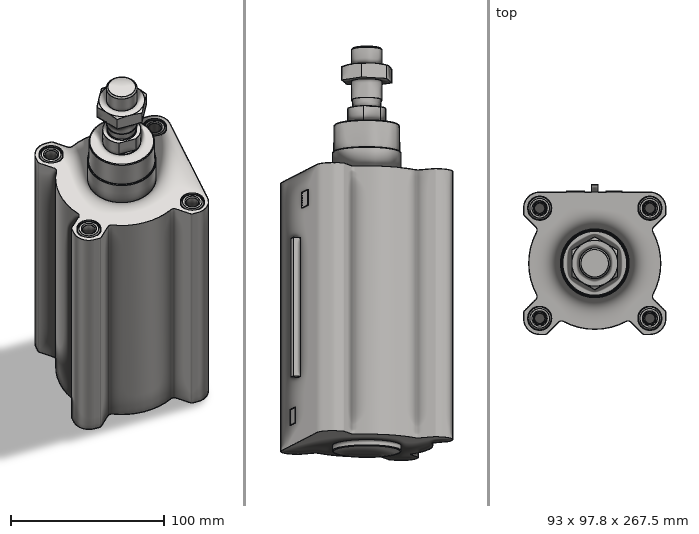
import cadquery as cq
import math

TOTAL_HEIGHT = 267.5
BODY_WIDTH = 93.0
BODY_BOTTOM = 4.0
BODY_TOP = 182.0
BODY_HEIGHT = BODY_TOP - BODY_BOTTOM
BODY_MIDDLE = (BODY_TOP + BODY_BOTTOM) / 2
BACK_FACE = BODY_WIDTH / 2

BARREL_DIAMETER = 86.5
SCREW_SPACING = 72.0
CORNER_RADIUS = (BODY_WIDTH - SCREW_SPACING) / 2
LOBE_WIDTH = 2 * CORNER_RADIUS
LOBE_ROOT_FILLET = 2.7
LOBE_EDGE_FILLET = 2.1
EDGE_TOLERANCE = 0.03

SCREW_HOLE_DIAMETER = 8.3
SCREW_HOLE_DEPTH = 16.0
HOLE_CHAMFER = 0.8
PILOT_DIAMETER = 6.7
PILOT_DEPTH = 21.5

GROOVE_OUTER_DIAMETER = 15.8
GROOVE_FLOOR_DIAMETER = 15.0
LAND_DIAMETER = 12.8
GROOVE_DEPTH = 1.3

BOSS_DIAMETER = 45.0
BOSS_CHAMFER = 0.5
COLLAR_STEP = 198.5
COLLAR_TOP = 216.5
COLLAR_ROOT_DIAMETER = 43.4
COLLAR_TOP_DIAMETER = 42.8
COLLAR_CHAMFER = 0.5

RIB_WIDTH = 4.5
RIB_LENGTH = 92.0
RIB_HEIGHT = 4.8
PAD_LENGTH = 10.5
PAD_THICKNESS = 0.5
PAD_OFFSET = 70.0
UPPER_PAD_WIDTH = 12.0
LOWER_PAD_WIDTH = 10.5
PAD_CENTRE_X = 12.5

ROD_DIAMETER = 25.0
ROD_BOTTOM = BODY_TOP
ROD_SHOULDER = 227.5
FLAT_BOTTOM = 217.0
WIDTH_ACROSS_FLATS = 22.0
NECK_DIAMETER = 18.5
NECK_CONE_DIAMETER = 19.3
NECK_TOP = 230.5
NECK_CHAMFER = 0.5
THREAD_BOTTOM = 233.3
THREAD_DIAMETER = 20.0
THREAD_CHAMFER = 1.0

NUT_BOTTOM = 245.7
NUT_HEIGHT = 9.5
NUT_WIDTH = 30.0
NUT_CHAMFER = 0.8


def cylinder(diameter, bottom, top):
    """Upright cylinder on the rod axis."""
    return cq.Workplane("XY", origin=(0, 0, bottom)).circle(diameter / 2).extrude(top - bottom)


def revolve_about_z(outline):
    """Solid of revolution from (radius, z) points."""
    return cq.Workplane("XZ").polyline(outline).close().revolve(360, (0, 0), (0, 1))


def vertical_edges_at(solid, radius):
    """Upright edges at the given distance from the rod axis."""
    def at_radius(edge):
        centre = edge.Center()
        return abs(math.hypot(centre.x, centre.y) - radius) < EDGE_TOLERANCE

    edges = solid.edges("|Z").vals()
    return solid.newObject([edge for edge in edges if at_radius(edge)])


def make_profile_body():
    """Barrel and corner lobes, trimmed to a square with rounded corners, flat on the +Y side."""
    base = cq.Workplane("XY", origin=(0, 0, BODY_BOTTOM))
    body = cylinder(BARREL_DIAMETER, BODY_BOTTOM, BODY_TOP)
    for angle in (45, -45):
        lobes = base.transformed(rotate=(0, 0, angle)).rect(2 * BODY_WIDTH, LOBE_WIDTH)
        body = body.union(lobes.extrude(BODY_HEIGHT))
    back_wedge = [(0, 0), (BACK_FACE, BACK_FACE), (-BACK_FACE, BACK_FACE)]
    body = body.union(base.polyline(back_wedge).close().extrude(BODY_HEIGHT))
    envelope = base.rect(BODY_WIDTH, BODY_WIDTH).extrude(BODY_HEIGHT)
    body = body.intersect(envelope.edges("|Z").fillet(CORNER_RADIUS))

    body = vertical_edges_at(body, BARREL_DIAMETER / 2).fillet(LOBE_ROOT_FILLET)
    lobe_edge = BODY_WIDTH / 2 - LOBE_WIDTH / math.sqrt(2)
    lobe_edge_radius = math.hypot(BODY_WIDTH / 2, lobe_edge)
    return vertical_edges_at(body, lobe_edge_radius).fillet(LOBE_EDGE_FILLET)


def make_screw_hole():
    """Cutter for a stepped blind hole with a chamfered mouth, on the Z axis."""
    hole_radius = SCREW_HOLE_DIAMETER / 2
    ledge = BODY_TOP - SCREW_HOLE_DEPTH
    bottom = BODY_TOP - PILOT_DEPTH
    return revolve_about_z([
        (0, bottom),
        (PILOT_DIAMETER / 2, bottom),
        (PILOT_DIAMETER / 2, ledge),
        (hole_radius, ledge),
        (hole_radius, BODY_TOP - HOLE_CHAMFER),
        (hole_radius + HOLE_CHAMFER, BODY_TOP),
        (0, BODY_TOP),
    ])


def make_ring_groove():
    """Cutter for the ring groove, on the Z axis."""
    floor = BODY_TOP - GROOVE_DEPTH
    return revolve_about_z([
        (GROOVE_FLOOR_DIAMETER / 2, floor),
        (GROOVE_OUTER_DIAMETER / 2, floor),
        (GROOVE_OUTER_DIAMETER / 2, BODY_TOP),
        (LAND_DIAMETER / 2, BODY_TOP),
    ])


def make_back_block(width, length, height, x, z):
    """Rectangular block standing on the back face."""
    return cq.Workplane("XY").box(width, height, length).translate((x, BACK_FACE + height / 2, z))


def make_housing():
    housing = make_profile_body()

    boss = cylinder(BOSS_DIAMETER, 0, BODY_BOTTOM).faces("<Z").chamfer(BOSS_CHAMFER)
    collar_base = cylinder(BOSS_DIAMETER, BODY_TOP, COLLAR_STEP).faces(">Z").chamfer(COLLAR_CHAMFER)
    collar = revolve_about_z([
        (0, COLLAR_STEP),
        (COLLAR_ROOT_DIAMETER / 2, COLLAR_STEP),
        (COLLAR_TOP_DIAMETER / 2, COLLAR_TOP),
        (0, COLLAR_TOP),
    ]).faces(">Z").chamfer(COLLAR_CHAMFER)
    housing = housing.union(boss).union(collar_base).union(collar)

    housing = housing.union(make_back_block(RIB_WIDTH, RIB_LENGTH, RIB_HEIGHT, 0, BODY_MIDDLE))
    for width, side in ((UPPER_PAD_WIDTH, 1), (LOWER_PAD_WIDTH, -1)):
        pad_z = BODY_MIDDLE + side * PAD_OFFSET
        pad = make_back_block(width, PAD_LENGTH, PAD_THICKNESS, -side * PAD_CENTRE_X, pad_z)
        housing = housing.union(pad)

    screw_hole = make_screw_hole()
    ring_groove = make_ring_groove()
    for x in (-SCREW_SPACING / 2, SCREW_SPACING / 2):
        for y in (-SCREW_SPACING / 2, SCREW_SPACING / 2):
            for cutter in (screw_hole, ring_groove):
                housing = housing.cut(cutter.translate((x, y, 0)))

    return housing.cut(cylinder(ROD_DIAMETER, ROD_BOTTOM, COLLAR_TOP))


def make_piston_rod():
    """Rod with two wrench flats facing X, an undercut neck and a chamfered thread end."""
    rod = cylinder(ROD_DIAMETER, ROD_BOTTOM, FLAT_BOTTOM)
    flat_height = ROD_SHOULDER - FLAT_BOTTOM
    flat_slab = cq.Workplane("XY", origin=(0, 0, FLAT_BOTTOM))
    flat_slab = flat_slab.rect(WIDTH_ACROSS_FLATS, ROD_DIAMETER).extrude(flat_height)
    rod = rod.union(cylinder(ROD_DIAMETER, FLAT_BOTTOM, ROD_SHOULDER).intersect(flat_slab))
    neck_radius = NECK_DIAMETER / 2
    neck_and_thread = revolve_about_z([
        (0, ROD_SHOULDER),
        (neck_radius + NECK_CHAMFER, ROD_SHOULDER),
        (neck_radius, ROD_SHOULDER + NECK_CHAMFER),
        (neck_radius, NECK_TOP),
        (NECK_CONE_DIAMETER / 2, THREAD_BOTTOM),
        (THREAD_DIAMETER / 2, THREAD_BOTTOM),
        (THREAD_DIAMETER / 2, TOTAL_HEIGHT - THREAD_CHAMFER),
        (THREAD_DIAMETER / 2 - THREAD_CHAMFER, TOTAL_HEIGHT),
        (0, TOTAL_HEIGHT),
    ])
    return rod.union(neck_and_thread)


def make_lock_nut():
    """Hexagon nut, points along Y, its upper corners turned down by a cone."""
    corner_diameter = NUT_WIDTH / math.cos(math.pi / 6)
    nut = cq.Workplane("XY", origin=(0, 0, NUT_BOTTOM)).transformed(rotate=(0, 0, 90))
    nut = nut.polygon(6, corner_diameter).extrude(NUT_HEIGHT)
    turned_blank = cylinder(corner_diameter, NUT_BOTTOM, NUT_BOTTOM + NUT_HEIGHT)
    turned_blank = turned_blank.faces(">Z").chamfer(NUT_CHAMFER, (corner_diameter - NUT_WIDTH) / 2)
    nut = nut.intersect(turned_blank)
    return nut.cut(cylinder(THREAD_DIAMETER, NUT_BOTTOM, NUT_BOTTOM + NUT_HEIGHT))


housing = make_housing()
piston_rod = make_piston_rod()
lock_nut = make_lock_nut()

bodies = (housing, piston_rod, lock_nut)
result = cq.Compound.makeCompound([body.solids().val() for body in bodies])